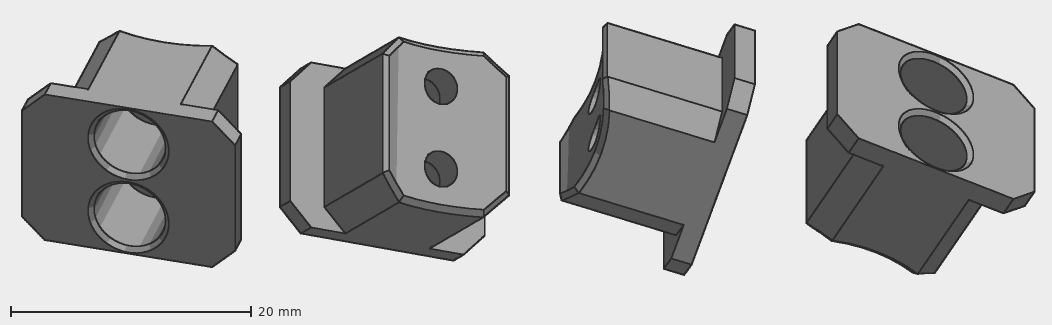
import cadquery as cq
import math

flange_width = 18.5
height = 14.5
flange_thickness = 1.8
corner_chamfer = 2.0

body_width = 12.0
total_depth = 12.14
saddle_radius = 13.0
saddle_edge_chamfer = 0.5

hole_diameter = 3.1
counterbore_diameter = 6.2
counterbore_depth = 8.0
counterbore_chamfer = 0.4
hole_spacing = height / 2

side_angle = math.asin(body_width / 2 / saddle_radius)
tip_angle = side_angle - saddle_edge_chamfer / saddle_radius
saddle_axis_y = total_depth + saddle_radius * math.cos(tip_angle)


def chamfered_block(width, depth):
    """Block from Y = 0 with its four long edges chamfered."""
    return (
        cq.Workplane("XY")
        .box(width, depth, height, centered=(True, False, True))
        .edges("|Y")
        .chamfer(corner_chamfer)
    )


def make_body():
    """Block cut by a vertical cylinder, with the saddle outline chamfered."""
    saddle = (
        cq.Workplane("XY")
        .center(0, saddle_axis_y)
        .circle(saddle_radius)
        .extrude(height, both=True)
    )
    body = chamfered_block(body_width, saddle_axis_y).cut(saddle)
    return body.faces("%CYLINDER").edges().chamfer(saddle_edge_chamfer)


def make_hole_cutter(z):
    """Through hole with a counterbore chamfered at the front face."""
    hole_center = cq.Workplane("XZ", origin=(0, 0, z))
    through_hole = hole_center.circle(hole_diameter / 2).extrude(-total_depth)
    counterbore = hole_center.circle(counterbore_diameter / 2).extrude(-counterbore_depth)
    lead_in = (
        hole_center.circle(counterbore_diameter / 2 + counterbore_chamfer)
        .extrude(-counterbore_chamfer, taper=45)
    )
    return through_hole.union(counterbore).union(lead_in)


result = chamfered_block(flange_width, flange_thickness).union(make_body())
for hole_z in (-hole_spacing / 2, hole_spacing / 2):
    result = result.cut(make_hole_cutter(hole_z))